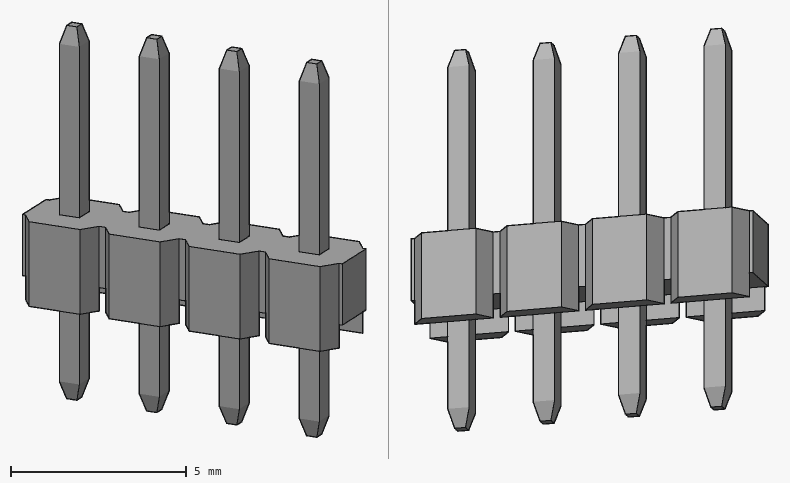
import cadquery as cq

PIN_COUNT = 4
BODY_LENGTH = 10.16
PITCH = BODY_LENGTH / PIN_COUNT

PIN_LENGTH = 11.2
PIN_WIDTH = 0.64
TIP_WIDTH = 0.32
TIP_LENGTH = 0.54
PIN_TAIL = 3.0

BODY_DEPTH = 2.54
BODY_HEIGHT = 2.54
BLOCK_GAP = 0.2
BLOCK_FLAT = 1.61
BLOCK_WIDTH = PITCH - BLOCK_GAP
RAIL_DEPTH = 1.53
CHANNEL_DEPTH = 1.48
CHANNEL_HEIGHT = 0.7
BODY_TOP = PIN_TAIL + BODY_HEIGHT
RAIL_BOTTOM = PIN_TAIL + CHANNEL_HEIGHT

PIN_POSITIONS = [(i - (PIN_COUNT - 1) / 2) * PITCH for i in range(PIN_COUNT)]


def make_block(x):
    """Housing block around one pin, with its four upright corners cut away."""
    side_x = BLOCK_WIDTH / 2
    flat_x = BLOCK_FLAT / 2
    side_y = RAIL_DEPTH / 2
    flat_y = BODY_DEPTH / 2
    outline = [
        (side_x, -side_y),
        (side_x, side_y),
        (flat_x, flat_y),
        (-flat_x, flat_y),
        (-side_x, side_y),
        (-side_x, -side_y),
        (-flat_x, -flat_y),
        (flat_x, -flat_y),
    ]
    block = cq.Workplane("XY").polyline(outline).close().extrude(BODY_HEIGHT)
    return block.translate((x, 0, PIN_TAIL))


def make_housing():
    """Blocks joined by a rail, with a channel left open along the underside."""
    rail_height = BODY_TOP - RAIL_BOTTOM
    housing = (
        cq.Workplane("XY", origin=(0, 0, RAIL_BOTTOM))
        .box(BODY_LENGTH, RAIL_DEPTH, rail_height, centered=(True, True, False))
    )
    for x in PIN_POSITIONS:
        housing = housing.union(make_block(x))
    channel = (
        cq.Workplane("XY", origin=(0, 0, PIN_TAIL))
        .box(BODY_LENGTH, CHANNEL_DEPTH, CHANNEL_HEIGHT, centered=(True, True, False))
    )
    return housing.cut(channel)


def make_tip(x, shoulder_z, length):
    """Tapered pin end; a negative length points it downwards."""
    return (
        cq.Workplane("XY", origin=(x, 0, shoulder_z))
        .rect(PIN_WIDTH, PIN_WIDTH)
        .workplane(offset=length)
        .rect(TIP_WIDTH, TIP_WIDTH)
        .loft(ruled=True)
    )


def make_pin(x):
    """Square pin tapered at both ends."""
    shank_length = PIN_LENGTH - 2 * TIP_LENGTH
    shank = (
        cq.Workplane("XY", origin=(x, 0, TIP_LENGTH))
        .box(PIN_WIDTH, PIN_WIDTH, shank_length, centered=(True, True, False))
    )
    lower_tip = make_tip(x, TIP_LENGTH, -TIP_LENGTH)
    upper_tip = make_tip(x, PIN_LENGTH - TIP_LENGTH, TIP_LENGTH)
    return shank.union(lower_tip).union(upper_tip)


result = make_housing()
for pin_x in PIN_POSITIONS:
    result = result.union(make_pin(pin_x))